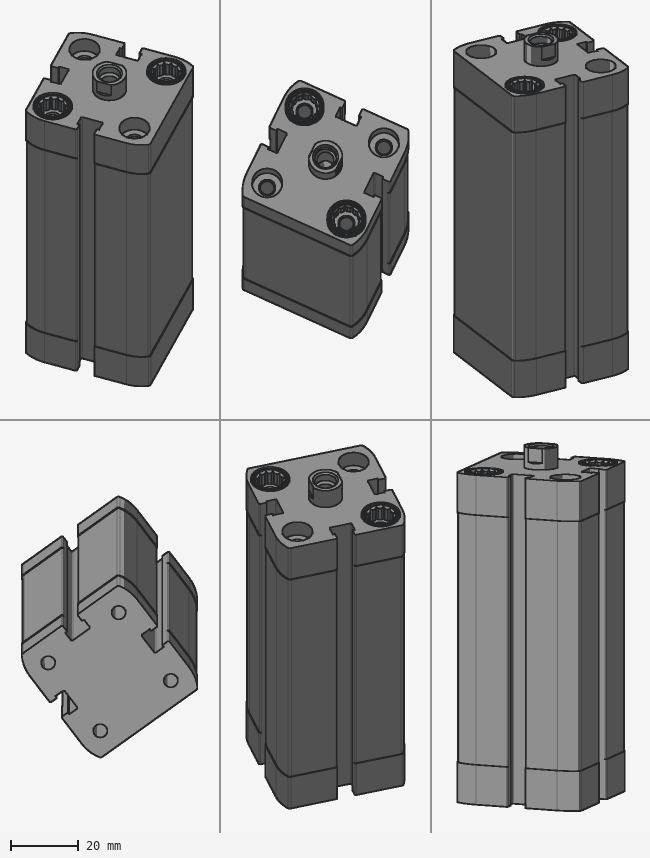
import cadquery as cq
import math

WIDTH = 39.5
TOTAL_HEIGHT = 105.3
ROD_PROJECTION = 6.3
HOUSING_HEIGHT = TOTAL_HEIGHT - ROD_PROJECTION
CAP_HEIGHT = 12.0
TUBE_HEIGHT = HOUSING_HEIGHT - 2 * CAP_HEIGHT
TUBE_INSET = 0.2

HOLE_OFFSET = 13.0
CORNER_RADIUS = 25.0 / 2
CAP_EDGE_FILLET = 0.8
TUBE_EDGE_FILLET = 1.0

SLOT_MOUTH = 5.5
SLOT_WIDTH = 6.8
SLOT_LIP = 2.4
SLOT_DEPTH = 5.6
SLOT_MOUTH_FILLET = 0.4
SLOT_FLOOR_FILLET = 0.3

BORE_DIAMETER = 4.1
COUNTERSINK_DIAMETER = 5.0
SOCKET_DEPTH = 5.0
COUNTERBORE_DIAMETER = 9.0

HEAD_CLEARANCE_DIAMETER = 11.5
HEAD_DIAMETER = 10.5
HEAD_CHAMFER = 0.3
HEAD_GROOVE_DEPTH = 1.1
SPLINE_TEETH = 12
SPLINE_ROOT_DIAMETER = 8.3
SPLINE_TIP_DIAMETER = 7.5
TIP_HALF_ANGLE = 7.5
SOCKET_MOUTH_DIAMETER = 9.0
SOCKET_MOUTH_DEPTH = 0.7

ROD_DIAMETER = 10.0
ROD_SEAT_DEPTH = CAP_HEIGHT
ROD_FLATS = 9.0
ROD_FLAT_HEIGHT = 4.2
ROD_FLAT_RUNOUT = 0.3
ROD_MOUTH_DIAMETER = 7.5
ROD_CENTRING_DIAMETER = 6.4
ROD_CENTRING_DEPTH = 2.7
ROD_BORE_DIAMETER = 5.0
ROD_BORE_DEPTH = 12.6
ROD_BORE_TIP_SLOPE = 30


def profile(inset, edge_fillet, height, base):
    """Square section with two flat sides in X and large-radius corners, shrunk by an inset."""
    half = WIDTH / 2 - inset
    radius = CORNER_RADIUS - inset
    centre_y = half - radius
    edge_angle = math.acos((half - HOLE_OFFSET) / radius)
    mid_angle = (edge_angle + math.pi / 2) / 2
    edge_y = centre_y + radius * math.sin(edge_angle)
    mid_x = HOLE_OFFSET + radius * math.cos(mid_angle)
    mid_y = centre_y + radius * math.sin(mid_angle)
    outline = (
        cq.Workplane("XY", origin=(0, 0, base))
        .moveTo(-HOLE_OFFSET, half)
        .lineTo(HOLE_OFFSET, half)
        .threePointArc((mid_x, mid_y), (half, edge_y))
        .lineTo(half, -edge_y)
        .threePointArc((mid_x, -mid_y), (HOLE_OFFSET, -half))
        .lineTo(-HOLE_OFFSET, -half)
        .threePointArc((-mid_x, -mid_y), (-half, -edge_y))
        .lineTo(-half, edge_y)
        .threePointArc((-mid_x, mid_y), (-HOLE_OFFSET, half))
        .close()
        .extrude(height)
    )
    outline = outline.edges("|Z and (<X or >X)").fillet(edge_fillet)
    for angle in (0, 90, -90):
        outline = outline.cut(slot(half, height, base).rotate((0, 0, 0), (0, 0, 1), angle))
    return outline


def slot(face, height, base):
    """T-slot in the -X side, with its mouth edges rounded where they meet the face."""
    floor = SLOT_DEPTH - WIDTH / 2
    lip = SLOT_LIP - WIDTH / 2
    mouth = SLOT_MOUTH / 2
    rounding = SLOT_MOUTH_FILLET
    bow = rounding * (1 - math.sqrt(0.5))
    half = SLOT_WIDTH / 2
    return (
        cq.Workplane("XY", origin=(0, 0, base))
        .moveTo(-face, mouth + rounding)
        .threePointArc((-face + bow, mouth + bow), (-face + rounding, mouth))
        .lineTo(lip, mouth)
        .lineTo(lip, half)
        .lineTo(floor, half)
        .lineTo(floor, -half)
        .lineTo(lip, -half)
        .lineTo(lip, -mouth)
        .lineTo(-face + rounding, -mouth)
        .threePointArc((-face + bow, -mouth - bow), (-face, -mouth - rounding))
        .close()
        .extrude(height)
        .edges("|Z and >X")
        .fillet(SLOT_FLOOR_FILLET)
    )


def cylinder(diameter, top, depth):
    """Cylinder on the Z axis, reaching down from its top plane."""
    return cq.Workplane("XY", origin=(0, 0, top - depth)).circle(diameter / 2).extrude(depth)


def cone(top_diameter, bottom_diameter, top, depth):
    """Cone frustum that narrows downward from its top plane."""
    return cq.Workplane("XY").add(
        cq.Solid.makeCone(bottom_diameter / 2, top_diameter / 2, depth, pnt=cq.Vector(0, 0, top - depth))
    )


def corner_bore():
    """Bore through the whole housing, countersunk at the socket floor."""
    floor = HOUSING_HEIGHT - SOCKET_DEPTH
    countersink_depth = (COUNTERSINK_DIAMETER - BORE_DIAMETER) / 2
    bore = cylinder(BORE_DIAMETER, floor, floor)
    return bore.union(cone(COUNTERSINK_DIAMETER, BORE_DIAMETER, floor, countersink_depth))


def plain_socket():
    """Corner bore with a counterbore."""
    return corner_bore().union(cylinder(COUNTERBORE_DIAMETER, HOUSING_HEIGHT, SOCKET_DEPTH))


def spline_socket():
    """Toothed socket: flat-crested teeth that meet in sharp roots."""
    points = []
    pitch = 360 / SPLINE_TEETH
    corners = (
        (SPLINE_TIP_DIAMETER / 2, -TIP_HALF_ANGLE),
        (SPLINE_TIP_DIAMETER / 2, TIP_HALF_ANGLE),
        (SPLINE_ROOT_DIAMETER / 2, pitch / 2),
    )
    for tooth in range(SPLINE_TEETH):
        for radius, offset in corners:
            angle = math.radians(tooth * pitch + pitch / 2 + offset)
            points.append((radius * math.cos(angle), radius * math.sin(angle)))
    plane = cq.Workplane("XY", origin=(0, 0, HOUSING_HEIGHT - SOCKET_DEPTH))
    return plane.polyline(points).close().extrude(SOCKET_DEPTH)


def screw_socket():
    """Space around and inside a screw head: clearance groove, chamfered rim and splined socket."""
    head = cylinder(HEAD_DIAMETER, HOUSING_HEIGHT, HEAD_GROOVE_DEPTH).faces(">Z").chamfer(HEAD_CHAMFER)
    groove = cylinder(HEAD_CLEARANCE_DIAMETER, HOUSING_HEIGHT, HEAD_GROOVE_DEPTH).cut(head)
    mouth = cone(SOCKET_MOUTH_DIAMETER, SPLINE_TIP_DIAMETER, HOUSING_HEIGHT, SOCKET_MOUTH_DEPTH)
    socket = corner_bore().union(spline_socket()).union(mouth)
    return groove.union(socket)


def make_housing():
    """Tube between two end caps, with T-slots, corner holes and a seat for the rod."""
    housing = profile(0, CAP_EDGE_FILLET, CAP_HEIGHT, 0)
    housing = housing.union(profile(TUBE_INSET, TUBE_EDGE_FILLET, TUBE_HEIGHT, CAP_HEIGHT))
    housing = housing.union(profile(0, CAP_EDGE_FILLET, CAP_HEIGHT, HOUSING_HEIGHT - CAP_HEIGHT))
    for side in (-1, 1):
        place = side * HOLE_OFFSET
        housing = housing.cut(screw_socket().translate((place, place, 0)))
        housing = housing.cut(plain_socket().translate((place, -place, 0)))
    return housing.cut(cylinder(ROD_DIAMETER, HOUSING_HEIGHT, ROD_SEAT_DEPTH))


def make_rod():
    """Rod end with two wrench flats and a stepped axial bore."""
    rod = cylinder(ROD_DIAMETER, TOTAL_HEIGHT, ROD_PROJECTION + ROD_SEAT_DEPTH)
    flat_y = ROD_FLATS / 2
    flat_bottom = TOTAL_HEIGHT - ROD_FLAT_HEIGHT
    flat = (
        cq.Workplane("YZ", origin=(-ROD_DIAMETER / 2, 0, 0))
        .moveTo(flat_y, TOTAL_HEIGHT)
        .lineTo(flat_y, flat_bottom)
        .lineTo(ROD_DIAMETER / 2, flat_bottom - ROD_FLAT_RUNOUT)
        .lineTo(ROD_DIAMETER / 2, TOTAL_HEIGHT)
        .close()
        .extrude(ROD_DIAMETER)
    )
    step = (ROD_CENTRING_DIAMETER - ROD_BORE_DIAMETER) / 2
    mouth_depth = (ROD_MOUTH_DIAMETER - ROD_CENTRING_DIAMETER) / 2
    tip_depth = ROD_BORE_DIAMETER / 2 * math.tan(math.radians(ROD_BORE_TIP_SLOPE))
    rod = rod.cut(flat).cut(flat.mirror("XZ"))
    rod = rod.cut(cone(ROD_MOUTH_DIAMETER, ROD_CENTRING_DIAMETER, TOTAL_HEIGHT, mouth_depth))
    rod = rod.cut(cylinder(ROD_CENTRING_DIAMETER, TOTAL_HEIGHT, ROD_CENTRING_DEPTH))
    rod = rod.cut(cone(ROD_CENTRING_DIAMETER, ROD_BORE_DIAMETER, TOTAL_HEIGHT - ROD_CENTRING_DEPTH, step))
    rod = rod.cut(cylinder(ROD_BORE_DIAMETER, TOTAL_HEIGHT, ROD_BORE_DEPTH))
    return rod.cut(cone(ROD_BORE_DIAMETER, 0, TOTAL_HEIGHT - ROD_BORE_DEPTH, tip_depth))


housing = make_housing()
rod = make_rod()

result = cq.Compound.makeCompound([housing.val(), rod.val()])